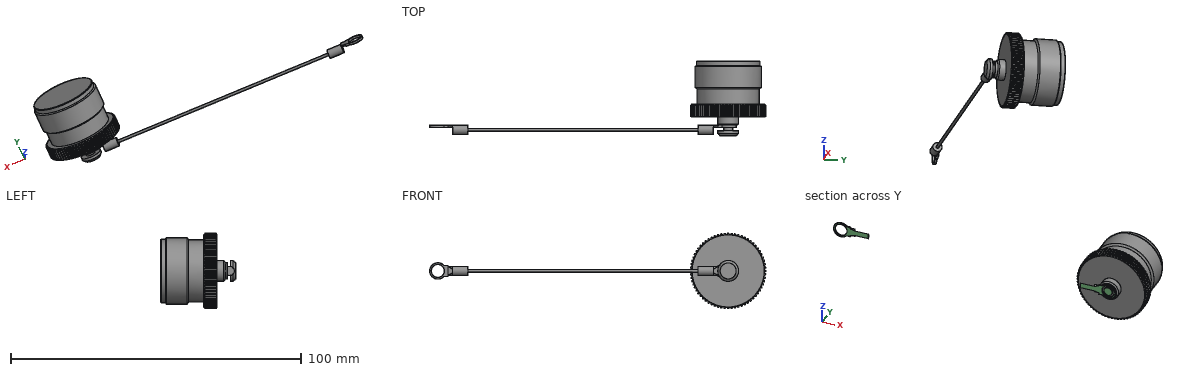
import cadquery as cq
import math


cap_depth = 19.4
body_radius = 10.75
band_radius = 11.5
band_start = 10.3
band_end = 17.45
band_front_bevel = 0.55
band_back_bevel = 0.35
end_chamfer = 0.25
rim_radius = 11.0

flange_width = 4.6
flange_radius = 12.995
tooth_count = 68
tooth_depth = 0.45
crest_fraction = 0.3
foot_fraction = 0.65
face_radius = 12.4
front_bevel_length = 0.3
back_bevel_length = 0.5

post_radius = 3.6
boss_length = 2.75
boss_chamfer = 0.5
neck_radius = 1.6
button_start = 4.6
post_length = 6.45
button_chamfer_length = 0.9
button_chamfer_inset = 0.85

lug_span = 99.95
lug_outer_radius = 2.85
lug_hole_radius = 2.2
lug_thickness = 0.8
lug_tab_reach = 3.5
lug_tab_half_width = 1.95
crimp_half_width = 1.5
crimp_tip_half_width = 0.6
crimp_inset = 0.1
sleeve_offset = 5.1
sleeve_length = 5.2
sleeve_radius = 1.6
wire_radius = 0.5

lug_back = -boss_length
lug_front = lug_back - lug_thickness
crimp_front = lug_front + crimp_inset
wire_y = lug_back - sleeve_radius


def revolve_about_y(profile):
    """Revolve a closed (radius, y) profile around the Y axis."""
    return cq.Workplane("XY").polyline(profile).close().revolve(360, (0, 0, 0), (0, 1, 0))


def cylinder_along_y(radius, y_start, y_end):
    return cq.Workplane("XZ", origin=(0, y_start, 0)).circle(radius).extrude(y_start - y_end)


def cylinder_along_x(radius, x_start, length):
    return cq.Workplane("YZ", origin=(x_start, wire_y, 0)).circle(radius).extrude(length)


def make_cap():
    return revolve_about_y([
        (0, 0),
        (body_radius, 0),
        (body_radius, band_start - band_front_bevel),
        (band_radius, band_start),
        (band_radius, band_end),
        (rim_radius, band_end + band_back_bevel),
        (rim_radius, cap_depth - end_chamfer),
        (rim_radius - end_chamfer, cap_depth),
        (0, cap_depth),
    ])


def make_flange():
    """Flange with straight trapezoidal teeth, bevelled at both ends past the roots."""
    root_radius = flange_radius - tooth_depth
    pitch_angle = 2 * math.pi / tooth_count
    crest_half_angle = pitch_angle * crest_fraction / 2
    foot_half_angle = pitch_angle * foot_fraction / 2
    tooth_shape = (
        (root_radius, -foot_half_angle),
        (flange_radius, -crest_half_angle),
        (flange_radius, crest_half_angle),
        (root_radius, foot_half_angle),
    )
    outline = []
    for tooth in range(tooth_count):
        for radius, offset_angle in tooth_shape:
            angle = tooth * pitch_angle + offset_angle
            outline.append((radius * math.cos(angle), radius * math.sin(angle)))
    toothed = cq.Workplane("XZ").polyline(outline).close().extrude(-flange_width)
    envelope = revolve_about_y([
        (0, 0),
        (face_radius, 0),
        (flange_radius, front_bevel_length),
        (flange_radius, flange_width - back_bevel_length),
        (face_radius, flange_width),
        (0, flange_width),
    ])
    return toothed.intersect(envelope)


def make_post():
    return revolve_about_y([
        (0, 0),
        (post_radius, 0),
        (post_radius, boss_chamfer - boss_length),
        (post_radius - boss_chamfer, -boss_length),
        (neck_radius, -boss_length),
        (neck_radius, -button_start),
        (post_radius, -button_start),
        (post_radius, button_chamfer_length - post_length),
        (post_radius - button_chamfer_inset, -post_length),
        (0, -post_length),
    ])


def crimp_section(front_half_width):
    """Crimp cross-section: full width at the back, the given width at the front."""
    return [
        (lug_back, -crimp_half_width),
        (lug_back, crimp_half_width),
        (crimp_front, front_half_width),
        (crimp_front, -front_half_width),
    ]


def make_lug():
    """Ring lug around the Y axis with its crimp sleeve reaching toward -X."""
    ring = cylinder_along_y(lug_outer_radius, lug_front, lug_back)
    tab = cq.Workplane("XY").box(
        lug_tab_reach, lug_thickness, 2 * lug_tab_half_width, centered=(False, False, True)
    ).translate((-lug_tab_reach, lug_front, 0))
    crimp = (
        cq.Workplane("YZ", origin=(-lug_tab_reach, 0, 0))
        .polyline(crimp_section(crimp_half_width)).close()
        .workplane(offset=lug_tab_reach - sleeve_offset)
        .polyline(crimp_section(crimp_tip_half_width)).close()
        .loft(ruled=True)
    )
    hole = cylinder_along_y(lug_hole_radius, lug_front, lug_back)
    sleeve = cylinder_along_x(sleeve_radius, -sleeve_offset - sleeve_length, sleeve_length)
    return ring.union(tab).cut(hole).union(crimp).union(sleeve)


def make_wire():
    wire_start = sleeve_offset - lug_span
    return cylinder_along_x(wire_radius, wire_start, lug_span - 2 * sleeve_offset)


near_lug = make_lug()
far_lug = near_lug.mirror("YZ").translate((-lug_span, 0, 0))

result = (
    make_cap()
    .union(make_flange())
    .union(make_post())
    .union(near_lug)
    .union(far_lug)
    .union(make_wire())
    .solids()
)